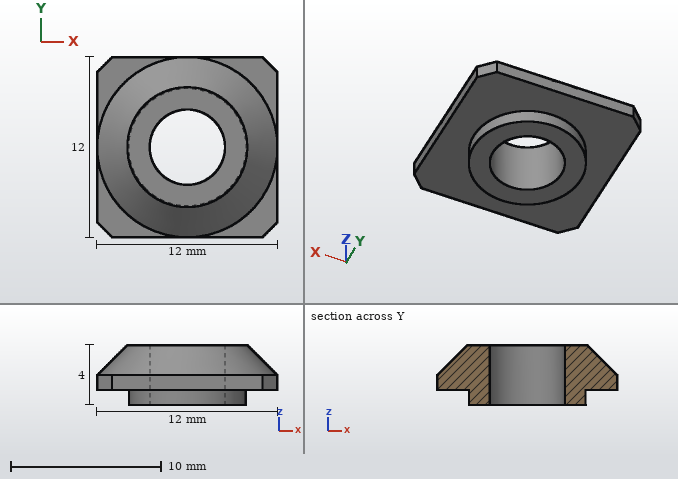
import cadquery as cq

plate_width = 12.0
plate_thickness = plate_width / 12
corner_chamfer = plate_thickness
cone_height = 2 * plate_thickness
cone_base_diameter = plate_width
cone_top_diameter = cone_base_diameter - 2 * cone_height
collar_diameter = 7.8
collar_height = plate_thickness
bore_diameter = 5.0

plate_top = collar_height + plate_thickness
total_height = plate_top + cone_height

collar = cq.Workplane("XY").circle(collar_diameter / 2).extrude(collar_height)

plate = (
    cq.Workplane("XY", origin=(0, 0, collar_height))
    .rect(plate_width, plate_width)
    .extrude(plate_thickness)
    .edges("|Z")
    .chamfer(corner_chamfer)
)

cone = cq.Workplane(
    cq.Solid.makeCone(
        cone_base_diameter / 2,
        cone_top_diameter / 2,
        cone_height,
        pnt=cq.Vector(0, 0, plate_top),
    )
)

bore = cq.Workplane("XY").circle(bore_diameter / 2).extrude(total_height)

result = plate.union(collar).union(cone).cut(bore)